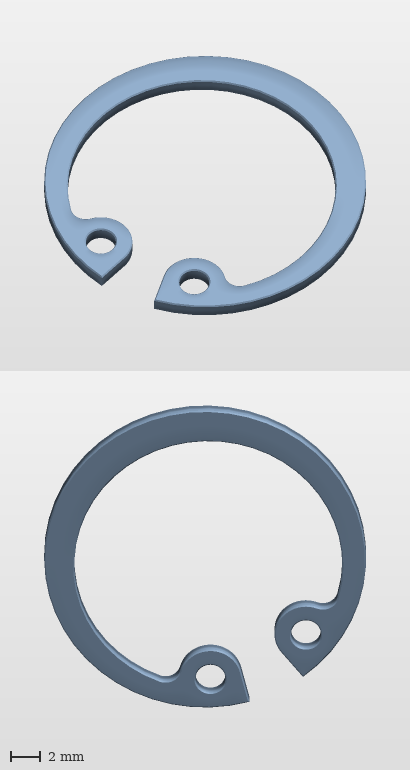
import cadquery as cq
import math

outer_radius = 10.75
inner_radius = 8.95
inner_center_y = -0.47
thickness = 1.0
lug_x = 3.57
lug_y = -7.9
lug_radius = 2.1
hole_diameter = 2.0
tip_x = 2.0
neck_radius = 1.0
edge_chamfer = 0.09


def point_on_circle(center, radius, angle):
    return (center[0] + radius * math.cos(angle), center[1] + radius * math.sin(angle))


def direction(start, end):
    return math.atan2(end[1] - start[1], end[0] - start[0])


def mirrored(point):
    return (-point[0], point[1])


bore_center = (0, inner_center_y)
lug_center = (lug_x, lug_y)
tip = (tip_x, -math.sqrt(outer_radius**2 - tip_x**2))

bore_to_neck = inner_radius - neck_radius
lug_to_neck = lug_radius + neck_radius
bore_to_lug = math.dist(bore_center, lug_center)
neck_cosine = (bore_to_lug**2 + bore_to_neck**2 - lug_to_neck**2) / (2 * bore_to_lug * bore_to_neck)
neck_angle = direction(bore_center, lug_center) + math.acos(neck_cosine)
neck_center = point_on_circle(bore_center, bore_to_neck, neck_angle)
bore_end = point_on_circle(bore_center, inner_radius, neck_angle)
lug_from_neck = direction(neck_center, lug_center)
lug_start = point_on_circle(neck_center, neck_radius, lug_from_neck)
neck_middle_angle = (neck_angle + lug_from_neck) / 2
neck_middle = point_on_circle(neck_center, neck_radius, neck_middle_angle)

tangent_spread = math.acos(lug_radius / math.dist(lug_center, tip))
lug_end_angle = direction(lug_center, tip) % (2 * math.pi) - tangent_spread
lug_end = point_on_circle(lug_center, lug_radius, lug_end_angle)
lug_middle_angle = (direction(lug_center, lug_start) + lug_end_angle) / 2
lug_middle = point_on_circle(lug_center, lug_radius, lug_middle_angle)

ring = (
    cq.Workplane("XY")
    .moveTo(*tip)
    .threePointArc((0, outer_radius), mirrored(tip))
    .lineTo(*mirrored(lug_end))
    .threePointArc(mirrored(lug_middle), mirrored(lug_start))
    .threePointArc(mirrored(neck_middle), mirrored(bore_end))
    .threePointArc((0, inner_center_y + inner_radius), bore_end)
    .threePointArc(neck_middle, lug_start)
    .threePointArc(lug_middle, lug_end)
    .close()
    .extrude(thickness)
)

ring = (
    ring.faces(">Z")
    .workplane(origin=(0, 0, 0))
    .pushPoints([lug_center, mirrored(lug_center)])
    .hole(hole_diameter)
)

result = ring.faces("|Z").edges().chamfer(edge_chamfer)